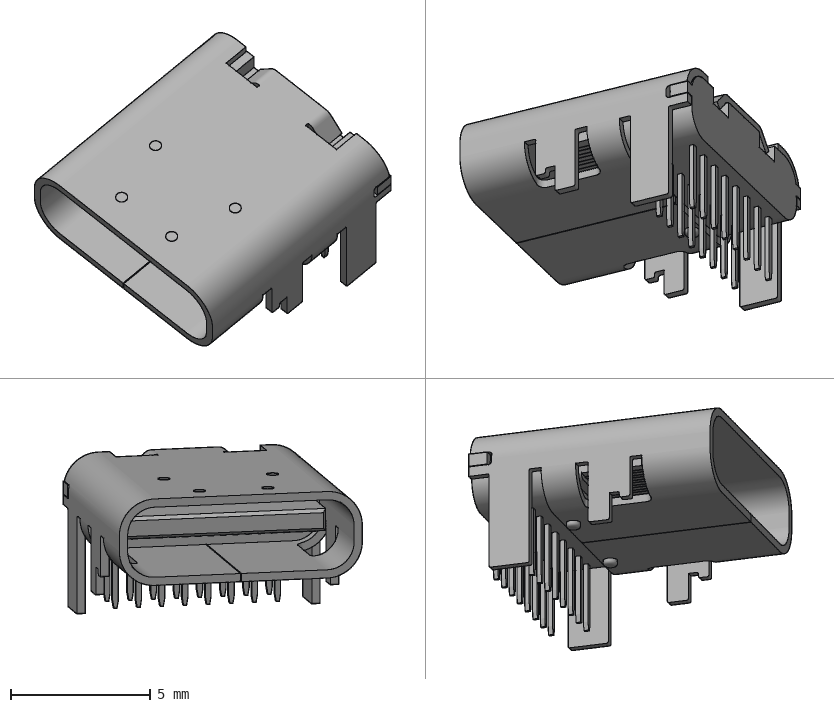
import cadquery as cq
import math

SHELL_WIDTH = 8.94
SHELL_HEIGHT = 3.16
SHELL_RADIUS = 1.29
SHEET = 0.3
DEPTH = 9.17
SHELL_REAR = 9.12

HALF_WIDTH = SHELL_WIDTH / 2
HALF_HEIGHT = SHELL_HEIGHT / 2
INNER_HALF_HEIGHT = HALF_HEIGHT - SHEET
SIDE_STRAIGHT = HALF_HEIGHT - SHELL_RADIUS
FLAT_HALF = HALF_WIDTH - SHELL_RADIUS

SEAM_GAP = 0.04
BOTTOM_REAR = 6.42
WINDOW_FRONT = 2.595
WINDOW_REAR = 5.11
WINDOW_RADIUS = 0.29

TOTAL_HEIGHT = 5.46
LEG_BOTTOM = HALF_HEIGHT - TOTAL_HEIGHT
REAR_LEG_FRONT = 6.87
REAR_LEG_REAR = 8.4
MID_LEG_FRONT = 3.04
MID_LEG_REAR = 4.63
MID_LEG_BOTTOM = -2.6
STOP_REAR = 3.45
STOP_BOTTOM = -1.8
PRONG_FRONT = 3.82
LEG_RADIUS = 0.07
LEG_ROOT_RADIUS = 0.055

DIMPLES = [(2.0, 3.7), (1.26, 1.19)]
DIMPLE_DIAMETER = 0.43
DIMPLE_DEPTH = 0.02

NOTCH_OUTER = 2.77
NOTCH_FRONT = 8.11
FLAP_BEND = 1.22
FLAP_FRONT = 8.235
FLAP_END = 2.05
FLAP_RADIUS = 0.39
FLAP_ANGLE = math.radians(45)
POCKET_OUTER = 2.41
POCKET_FLOOR = 0.64

EAR_TOP = 0.57
EAR_BOTTOM = 0.1
EAR_FRONT = 8.46
EAR_NOTCH_FRONT = 8.3
EAR_NOTCH_BOTTOM = 0.07
EAR_NOTCH_RADIUS = 0.13

HOUSING_FRONT = 5.5
HOUSING_GAP = 0.03
HOUSING_BOTTOM = HOUSING_GAP - INNER_HALF_HEIGHT
COLLAR_FRONT = 5.135
COLLAR_HALF_WIDTH = 3.76
COLLAR_HALF_HEIGHT = 0.6
COLLAR_RADIUS = 0.23
TONGUE_FRONT = 2.68
TONGUE_HALF_WIDTH = 3.76
TONGUE_HALF_HEIGHT = 0.4
TONGUE_TIP_LENGTH = 0.17
TONGUE_TIP_CHAMFER = 0.12

CONTACT_COUNT = 15
CONTACT_PITCH = 0.47
CONTACT_WIDTH = 0.21
CONTACT_HEIGHT = 0.02
CONTACT_FRONT = TONGUE_FRONT + TONGUE_TIP_LENGTH

PEG_X = 2.02
PEG_Y = 6.04
PEG_DIAMETER = 0.51
PEG_BOTTOM = -1.8
PEG_FILLET = 0.11
PIN_ROWS = 2
PINS_PER_ROW = 8
PIN_PITCH = 0.85
PIN_WIDTH = 0.21
PIN_THICKNESS = 0.17
PIN_REAR = 8.71
PIN_ROW_SPACING = 1.35
PIN_BOTTOM = -3.78
PIN_TAPER_TOP = -3.485
PIN_TIP_WIDTH = 0.11


def box(x0, x1, y0, y1, z0, z1):
    return cq.Workplane("XY").box(x1 - x0, y1 - y0, z1 - z0, centered=False).translate((x0, y0, z0))


def along_y(front, rear):
    """Workplane with local X = X and local Y = Z whose extrusions run from `front` to `rear`."""
    return cq.Workplane("XZ", origin=(0, rear, 0)), rear - front


def rounded_bar(half_width, half_height, radius, front, rear):
    plane, length = along_y(front, rear)
    bar = plane.rect(2 * half_width, 2 * half_height).extrude(length)
    return bar.edges("|Y").fillet(radius)


def both_sides(part):
    return part.union(part.mirror("YZ"))


def oval(inset, front, rear):
    return rounded_bar(HALF_WIDTH - inset, HALF_HEIGHT - inset, SHELL_RADIUS - inset, front, rear)


def shell_tube():
    tube = oval(0, 0, DEPTH).cut(oval(SHEET, 0, DEPTH))
    rear_trim = box(-HALF_WIDTH, HALF_WIDTH, SHELL_REAR, DEPTH, EAR_TOP, HALF_HEIGHT)
    seam = box(-SEAM_GAP / 2, SEAM_GAP / 2, 0, DEPTH, -HALF_HEIGHT, 0)
    open_rear = box(-HALF_WIDTH, HALF_WIDTH, BOTTOM_REAR, DEPTH, -HALF_HEIGHT, -SIDE_STRAIGHT)
    return tube.cut(rear_trim).cut(seam).cut(open_rear)


def side_windows():
    window = box(-HALF_WIDTH, -FLAT_HALF, WINDOW_FRONT, WINDOW_REAR, -HALF_HEIGHT, -SIDE_STRAIGHT)
    return both_sides(window.edges("|Z and >X").fillet(WINDOW_RADIUS))


def ear_notches():
    notch = box(-HALF_WIDTH, -FLAT_HALF, EAR_NOTCH_FRONT, DEPTH, EAR_NOTCH_BOTTOM, EAR_TOP)
    return both_sides(notch.edges("|X and <Y").fillet(EAR_NOTCH_RADIUS))


def side_leg(outline):
    """Flat leg in the left side wall, from its outline of (Y, Z) points."""
    return cq.Workplane("YZ", origin=(-HALF_WIDTH, 0, 0)).polyline(outline).close().extrude(SHEET)


def legs():
    rear_leg = side_leg([
        (REAR_LEG_FRONT, -SIDE_STRAIGHT),
        (REAR_LEG_FRONT, LEG_BOTTOM),
        (REAR_LEG_REAR, LEG_BOTTOM),
        (REAR_LEG_REAR, -SIDE_STRAIGHT),
    ])
    rear_leg = rear_leg.edges("|X and <Z").fillet(LEG_RADIUS)
    mid_leg = side_leg([
        (MID_LEG_FRONT, -SIDE_STRAIGHT),
        (MID_LEG_FRONT, STOP_BOTTOM),
        (STOP_REAR, STOP_BOTTOM),
        (STOP_REAR, -HALF_HEIGHT),
        (PRONG_FRONT, -HALF_HEIGHT),
        (PRONG_FRONT, MID_LEG_BOTTOM),
        (MID_LEG_REAR, MID_LEG_BOTTOM),
        (MID_LEG_REAR, -SIDE_STRAIGHT),
    ])
    stop_corners = cq.selectors.BoxSelector(
        (-HALF_WIDTH, MID_LEG_FRONT - LEG_RADIUS, STOP_BOTTOM - LEG_RADIUS),
        (HALF_WIDTH, STOP_REAR + LEG_RADIUS, -HALF_HEIGHT + LEG_RADIUS))
    mid_leg = mid_leg.edges("|X").edges(stop_corners).fillet(LEG_RADIUS)
    mid_leg = mid_leg.edges("|X and <Z").fillet(LEG_RADIUS)
    return both_sides(rear_leg.union(mid_leg))


def leg_roots():
    """Selects the inside corners where the legs leave the lower edge of the side walls."""
    selector = None
    for y in (REAR_LEG_REAR, REAR_LEG_FRONT, MID_LEG_REAR, MID_LEG_FRONT):
        corner = cq.selectors.BoxSelector(
            (-HALF_WIDTH, y - LEG_ROOT_RADIUS, -SIDE_STRAIGHT - LEG_ROOT_RADIUS),
            (HALF_WIDTH, y + LEG_ROOT_RADIUS, -SIDE_STRAIGHT + LEG_ROOT_RADIUS))
        selector = selector + corner if selector else corner
    return selector


def top_notches():
    notch = box(-NOTCH_OUTER, -FLAP_BEND, NOTCH_FRONT, DEPTH, INNER_HALF_HEIGHT, HALF_HEIGHT)
    return both_sides(notch)


def flaps():
    """Sheet edges of the top, bent down and outward at FLAP_ANGLE."""
    sine = math.sin(FLAP_ANGLE)
    cosine = math.cos(FLAP_ANGLE)
    half_sine = math.sin(FLAP_ANGLE / 2)
    half_cosine = math.cos(FLAP_ANGLE / 2)
    inner_radius = FLAP_RADIUS - SHEET
    centre_z = HALF_HEIGHT - FLAP_RADIUS

    def on_bend(radius, sin_value, cos_value):
        return (-FLAP_BEND - radius * sin_value, centre_z + radius * cos_value)

    bend_end_x, bend_end_z = on_bend(FLAP_RADIUS, sine, cosine)
    flap_drop = (FLAP_END + bend_end_x) * math.tan(FLAP_ANGLE)
    outer_corner = (-FLAP_END, bend_end_z - flap_drop)
    inner_corner = (outer_corner[0] + SHEET * sine, outer_corner[1] - SHEET * cosine)
    plane, length = along_y(FLAP_FRONT, SHELL_REAR)
    flap = (
        plane.moveTo(-FLAP_BEND, HALF_HEIGHT)
        .threePointArc(on_bend(FLAP_RADIUS, half_sine, half_cosine), (bend_end_x, bend_end_z))
        .lineTo(*outer_corner)
        .lineTo(*inner_corner)
        .lineTo(*on_bend(inner_radius, sine, cosine))
        .threePointArc(on_bend(inner_radius, half_sine, half_cosine), (-FLAP_BEND, INNER_HALF_HEIGHT))
        .close()
        .extrude(length)
    )
    return flap, flap.mirror("YZ")


def dimples():
    places = [(side * x, y) for x, y in DIMPLES for side in (-1, 1)]
    plane = cq.Workplane("XY", origin=(0, 0, HALF_HEIGHT))
    return plane.pushPoints(places).circle(DIMPLE_DIAMETER / 2).extrude(-DIMPLE_DEPTH)


def make_shell():
    shell = shell_tube().cut(side_windows()).cut(ear_notches()).cut(top_notches())
    shell = shell.union(legs())
    shell = shell.edges("|X").edges(leg_roots()).fillet(LEG_ROOT_RADIUS)
    for flap in flaps():
        shell = shell.union(flap)
    return shell.cut(dimples()).cut(pegs())


def housing_block():
    block = rounded_bar(
        HALF_WIDTH - SHEET - HOUSING_GAP,
        INNER_HALF_HEIGHT - HOUSING_GAP / 2,
        SHELL_RADIUS - SHEET - HOUSING_GAP,
        HOUSING_FRONT,
        DEPTH,
    ).translate((0, 0, HOUSING_GAP / 2))
    ear = box(-HALF_WIDTH, -FLAT_HALF, EAR_FRONT, DEPTH, EAR_BOTTOM, EAR_TOP)
    pocket = box(-POCKET_OUTER, -FLAP_BEND, NOTCH_FRONT, DEPTH, POCKET_FLOOR, HALF_HEIGHT)
    return block.union(both_sides(ear)).cut(both_sides(pocket))


def tapered_profile(plane, half_size):
    """Outline of the tongue along Y, narrowing by the chamfer towards its tip."""
    taper_start = TONGUE_FRONT + TONGUE_TIP_LENGTH
    tip_half = half_size - TONGUE_TIP_CHAMFER
    return cq.Workplane(plane).polyline([
        (COLLAR_FRONT, -half_size),
        (taper_start, -half_size),
        (TONGUE_FRONT, -tip_half),
        (TONGUE_FRONT, tip_half),
        (taper_start, half_size),
        (COLLAR_FRONT, half_size),
    ]).close()


def tongue():
    collar = rounded_bar(COLLAR_HALF_WIDTH, COLLAR_HALF_HEIGHT, COLLAR_RADIUS, COLLAR_FRONT, HOUSING_FRONT)
    side_profile = tapered_profile("YZ", TONGUE_HALF_HEIGHT).extrude(TONGUE_HALF_WIDTH, both=True)
    top_profile = tapered_profile("YX", TONGUE_HALF_WIDTH).extrude(TONGUE_HALF_HEIGHT, both=True)
    return collar.union(side_profile.intersect(top_profile))


def contacts():
    span = (CONTACT_COUNT - 1) * CONTACT_PITCH
    strips = cq.Workplane("XY")
    for index in range(CONTACT_COUNT):
        left = index * CONTACT_PITCH - span / 2 - CONTACT_WIDTH / 2
        strips = strips.union(box(
            left, left + CONTACT_WIDTH,
            CONTACT_FRONT, COLLAR_FRONT,
            -TONGUE_HALF_HEIGHT - CONTACT_HEIGHT, -TONGUE_HALF_HEIGHT,
        ))
    return strips


def pegs():
    plane = cq.Workplane("XY", origin=(0, 0, PEG_BOTTOM))
    peg = plane.center(-PEG_X, PEG_Y).circle(PEG_DIAMETER / 2).extrude(HOUSING_BOTTOM - PEG_BOTTOM)
    return both_sides(peg.faces("<Z").fillet(PEG_FILLET))


def pins():
    plane, length = along_y(PIN_REAR - PIN_THICKNESS, PIN_REAR)
    pin = plane.polyline([
        (-PIN_WIDTH / 2, HOUSING_BOTTOM),
        (-PIN_WIDTH / 2, PIN_TAPER_TOP),
        (-PIN_TIP_WIDTH / 2, PIN_BOTTOM),
        (PIN_TIP_WIDTH / 2, PIN_BOTTOM),
        (PIN_WIDTH / 2, PIN_TAPER_TOP),
        (PIN_WIDTH / 2, HOUSING_BOTTOM),
    ]).close().extrude(length)
    first_x = -(PINS_PER_ROW - 1) * PIN_PITCH / 2
    return [
        pin.translate((first_x + index * PIN_PITCH, -row * PIN_ROW_SPACING, 0))
        for row in range(PIN_ROWS)
        for index in range(PINS_PER_ROW)
    ]


def make_housing():
    housing = housing_block().union(tongue()).union(contacts()).union(pegs())
    for pin in pins():
        housing = housing.union(pin)
    return housing


shell = make_shell()
housing = make_housing()
result = cq.Compound.makeCompound([shell.val(), housing.val()])